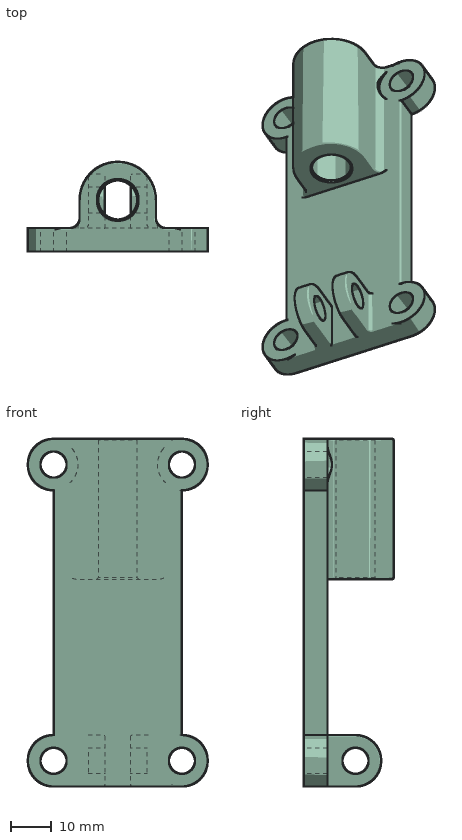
import cadquery as cq
plate_width = 31.5
plate_thickness = 5.86
overall_height = 85.38
bottom_z = -overall_height / 2
top_z = overall_height / 2
edge_radius = 0.5

ear_radius = 6.35
mount_hole_diameter = 6.35
spotface_radius = 6.0
ear_x = plate_width / 2
ear_z = overall_height / 2 - ear_radius
ear_centers = [(side * ear_x, end * ear_z) for side in (-1, 1) for end in (-1, 1)]

axis_y = 12.7
boss_radius = 9.395
boss_length = 34.5
boss_fillet = 2.3
bore_diameter = 9.53
bore_chamfer = 0.38

lug_radius = 6.35
lug_gap = 6.35
lug_thickness = 3.97
lug_fillet = 1.0
pin_hole_diameter = 6.35
pin_z = bottom_z + lug_radius

root_y = plate_thickness / 2


def disc_along_y(x, z, radius, y_start, length):
    return cq.Workplane("XZ", origin=(x, y_start, z)).circle(radius).extrude(-length)


def make_plate():
    """Rectangular plate with rounded rear edges and four round ears."""
    plate = cq.Workplane("XY", origin=(0, plate_thickness / 2, 0)).box(
        plate_width, plate_thickness, overall_height
    )
    plate = plate.faces(">Y").edges().fillet(edge_radius)
    for x, z in ear_centers:
        plate = plate.union(disc_along_y(x, z, ear_radius, 0, plate_thickness))
    return plate


def make_boss():
    """Round-topped boss with concave fillets at its foot and rounded end edges."""
    foot_x = boss_radius + boss_fillet
    tangent_y = plate_thickness + boss_fillet
    boss = (
        cq.Workplane("XY", origin=(0, 0, top_z - boss_length))
        .moveTo(-foot_x, root_y)
        .lineTo(-foot_x, plate_thickness)
        .radiusArc((-boss_radius, tangent_y), -boss_fillet)
        .lineTo(-boss_radius, axis_y)
        .threePointArc((0, axis_y + boss_radius), (boss_radius, axis_y))
        .lineTo(boss_radius, tangent_y)
        .radiusArc((foot_x, plate_thickness), -boss_fillet)
        .lineTo(foot_x, root_y)
        .close()
        .extrude(boss_length)
    )
    outline = cq.selectors.BoxSelector(
        (-foot_x, plate_thickness, bottom_z), (foot_x, axis_y + boss_radius, overall_height)
    )
    return boss.faces("|Z").edges(outline).fillet(edge_radius)


def make_lug():
    """Lug on the +X side: round-ended tab with rounded edges and a fillet at its outer foot."""
    inner_x = lug_gap / 2
    outer_x = inner_x + lug_thickness
    lug = (
        cq.Workplane("YZ", origin=(inner_x, 0, 0))
        .moveTo(root_y, pin_z - lug_radius)
        .lineTo(axis_y, pin_z - lug_radius)
        .threePointArc((axis_y + lug_radius, pin_z), (axis_y, pin_z + lug_radius))
        .lineTo(root_y, pin_z + lug_radius)
        .close()
        .extrude(lug_thickness)
    )
    lug = lug.faces("|X").edges("not <Y").fillet(edge_radius)
    foot = (
        cq.Workplane("XY", origin=(0, 0, bottom_z))
        .moveTo(inner_x + lug_thickness / 2, root_y)
        .lineTo(outer_x + lug_fillet, root_y)
        .lineTo(outer_x + lug_fillet, plate_thickness)
        .radiusArc((outer_x, plate_thickness + lug_fillet), lug_fillet)
        .lineTo(inner_x + lug_thickness / 2, plate_thickness + lug_fillet)
        .close()
        .extrude(2 * lug_radius)
    )
    foot = foot.faces("|Z").edges(cq.selectors.RadiusNthSelector(0)).fillet(edge_radius)
    return lug.union(foot)


def cut_bore(body):
    """Through bore of the boss with a chamfer at both mouths."""
    bore_radius = bore_diameter / 2
    profile = (
        cq.Workplane("XZ", origin=(0, axis_y, top_z))
        .moveTo(0, 0)
        .lineTo(bore_radius + bore_chamfer, 0)
        .lineTo(bore_radius, -bore_chamfer)
        .lineTo(bore_radius, bore_chamfer - boss_length)
        .lineTo(bore_radius + bore_chamfer, -boss_length)
        .lineTo(0, -boss_length)
        .close()
    )
    return body.cut(profile.revolve(360, (0, 0, 0), (0, 1, 0)))


def cut_pin_hole(body):
    pin = (
        cq.Workplane("YZ", origin=(0, axis_y, pin_z))
        .circle(pin_hole_diameter / 2)
        .extrude(plate_width / 2, both=True)
    )
    return body.cut(pin)


def cut_mount_holes(body):
    """Through holes in the ears, each with room for a screw head behind the ear."""
    for x, z in ear_centers:
        body = body.cut(disc_along_y(x, z, mount_hole_diameter / 2, 0, plate_thickness))
        body = body.cut(disc_along_y(x, z, spotface_radius, plate_thickness, axis_y))
    return body


lug = make_lug()
result = make_plate().union(make_boss()).union(lug).union(lug.mirror("YZ"))
result = cut_bore(result)
result = cut_pin_hole(result)
result = cut_mount_holes(result)